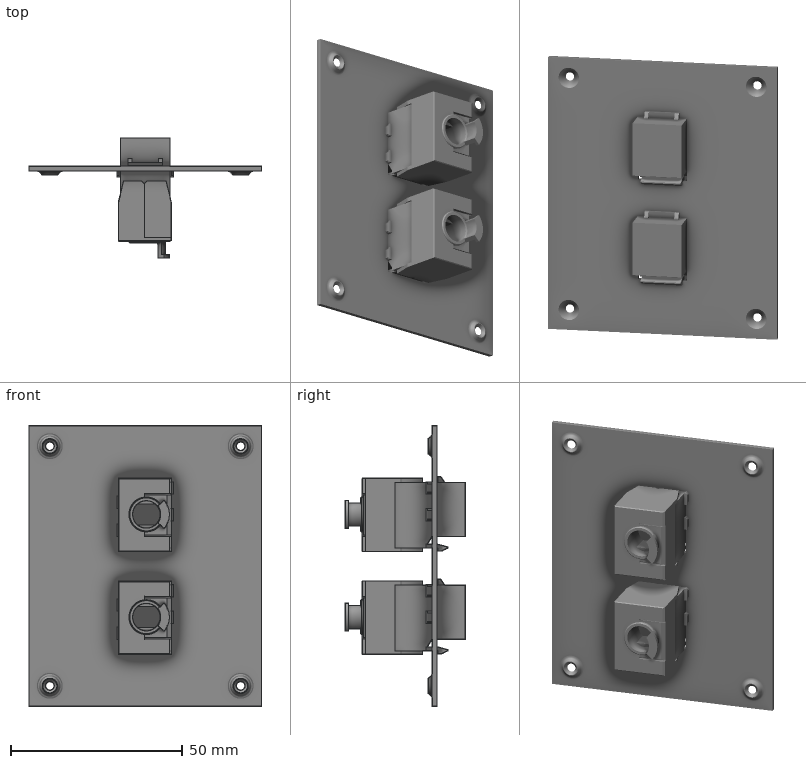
import cadquery as cq
import math

plate_width = 68.1
plate_height = 82.0
plate_thickness = 1.5
screw_x = 27.9
screw_z = 35.0

dimple_height = 1.15
dimple_base_radius = 3.6
dimple_cone_radius = 2.95
dimple_rim_radius = 2.2
dimple_mouth_radius = 2.05
dimple_hole_radius = 1.2
dimple_blend_height = 0.25
dimple_blend_radius = 1.1

jack_pitch = 30.0
jack_drop = 0.1
jack_heights = (jack_pitch / 2 - jack_drop, -jack_pitch / 2 - jack_drop)

insert_half_width = 7.3
insert_back = 9.8
insert_front = -10.8
insert_top = 9.5
insert_bottom = -9.7
socket_bottom = -6.3
arm_top = -8.5
arm_root = -1.4
arm_shoulder = -1.7
arm_half_width = 6.0

latch_gap = 0.2
latch_face = plate_thickness + latch_gap
latch_half_width = 5.1
latch_height = 1.7
latch_depth = 0.9
gusset_width = 1.2
gusset_depth = 2.05
hook_tip = 4.6
hook_tip_height = 0.3
hook_depth = 0.9
hook_lip = 1.15

clip_reach = 1.0
clip_depth = 1.7
clip_height = 3.6
clip_lip = 0.4
clip_chamfer = 0.6
left_clip_heights = (3.7, -4.5)
right_clip_heights = (7.9, 0.1)

cover_left = -7.9
cover_right = 7.6
cover_half_height = 10.75
cover_front = -20.5
cover_back = -2.8
door_split = -0.2
taper_start = -9.1
taper_inset = 1.55
left_split_chamfer = 1.0
right_split_chamfer = 0.7
cheek_back = insert_front
lip_thickness = 1.1
lip_back = cover_front + lip_thickness
lip_edge_chamfer = 0.25
lip_end_bevel_x = 0.6
lip_end_bevel_y = 0.25
notch_half_height = 6.2
pad_gap = 0.4
pad_recess = 0.4
pad_bevel_x = 1.2
pad_bevel_y = 0.6

relief_x = 0.3
relief_z = 0.2
relief_radius = 5.1
bore_radius = 4.0
relief_rim_chamfer = 0.25
relief_front = cover_front - 0.4
bore_end = -16.8
cable_slot_half_height = 3.0
tab_front = -25.4
tab_inner_radius = 4.2
tab_half_angle = 42.0
tab_center_offset = 0.6
tab_root_length = 0.5
stem_radius = 5.1
flange_radius = 6.15
flange_thickness = 1.1


def box(x0, x1, y0, y1, z0, z1):
    """Block between two opposite corners."""
    return cq.Workplane("XY").box(x1 - x0, y1 - y0, z1 - z0, centered=False).translate((x0, y0, z0))


def cylinder_y(radius, y0, y1, x, z):
    """Cylinder along Y from y0 to y1."""
    return cq.Workplane("XZ", origin=(x, y1, z)).circle(radius).extrude(y1 - y0)


def side_profile(points, x0, x1):
    """Outline of (Y, Z) points extruded along X from x0 to x1."""
    return cq.Workplane("YZ", origin=(x0, 0, 0)).polyline(points).close().extrude(x1 - x0)


def upright_prism(points, half_height):
    """Outline of (X, Y) points extruded along Z, centred on Z = 0."""
    return cq.Workplane("XY").polyline(points).close().extrude(half_height, both=True)


def revolve_about_y(outline, x, z):
    """Revolve an outline of (radius, Y) about an axis along Y."""
    return outline.close().revolve(360, (0, 0, 0), (0, 1, 0)).translate((x, 0, z))


def dimple_boss(x, z):
    """Raised cone with a concave blend at its foot."""
    outline = (
        cq.Workplane("XY")
        .moveTo(0, 0)
        .lineTo(dimple_base_radius, 0)
        .radiusArc((dimple_cone_radius, -dimple_blend_height), -dimple_blend_radius)
        .lineTo(dimple_rim_radius, -dimple_height)
        .lineTo(0, -dimple_height)
    )
    return revolve_about_y(outline, x, z)


def dimple_hole(x, z):
    """Hole that opens toward both faces from a narrow waist."""
    waist_y = -dimple_height + dimple_mouth_radius - dimple_hole_radius
    outline = (
        cq.Workplane("XY")
        .moveTo(0, -dimple_height)
        .lineTo(dimple_mouth_radius, -dimple_height)
        .lineTo(dimple_hole_radius, waist_y)
        .lineTo(dimple_hole_radius + plate_thickness - waist_y, plate_thickness)
        .lineTo(0, plate_thickness)
    )
    return revolve_about_y(outline, x, z)


def make_plate():
    plate = box(-plate_width / 2, plate_width / 2, 0, plate_thickness, -plate_height / 2, plate_height / 2)
    for x in (-screw_x, screw_x):
        for z in (-screw_z, screw_z):
            plate = plate.union(dimple_boss(x, z)).cut(dimple_hole(x, z))
    for z in jack_heights:
        opening = box(
            -insert_half_width, insert_half_width, 0, plate_thickness, z + insert_bottom, z + insert_top
        )
        plate = plate.cut(opening)
    return plate


def insert_body():
    """Socket block with the flexible latch arm and hook below it."""
    outline = [
        (insert_front, insert_top),
        (insert_back, insert_top),
        (insert_back, socket_bottom),
        (0, socket_bottom),
        (arm_root, arm_top),
        (latch_face, arm_top),
        (hook_tip, insert_bottom + hook_tip_height),
        (hook_tip, insert_bottom),
        (latch_face + hook_lip, insert_bottom - hook_depth),
        (latch_face, insert_bottom - hook_depth),
        (latch_face, insert_bottom),
        (insert_front, insert_bottom),
    ]
    body = side_profile(outline, -insert_half_width, insert_half_width)
    arm_floor = insert_bottom - hook_depth
    for x0, x1 in ((-insert_half_width, -arm_half_width), (arm_half_width, insert_half_width)):
        body = body.cut(box(x0, x1, arm_shoulder, hook_tip, arm_floor, arm_top))
    return body


def upper_latch():
    """Ledge above the socket with a sloping gusset at each end."""
    ledge_back = latch_face + latch_depth
    ledge_top = insert_top + latch_height
    latch = box(-latch_half_width, latch_half_width, latch_face, ledge_back, insert_top, ledge_top)
    outline = [
        (latch_face, insert_top),
        (latch_face + gusset_depth, insert_top),
        (ledge_back, ledge_top),
        (latch_face, ledge_top),
    ]
    for x in (-latch_half_width, latch_half_width - gusset_width):
        latch = latch.union(side_profile(outline, x, x + gusset_width))
    return latch


def side_clip(side, z):
    """Chamfered clip with a square lip, bearing on the plate; side is -1 or 1."""
    outer = insert_half_width + clip_reach
    half = clip_height / 2
    outline = [
        (side * insert_half_width, z - half),
        (side * (outer - clip_chamfer), z - half),
        (side * outer, z - half + clip_chamfer),
        (side * outer, z + half - clip_chamfer),
        (side * (outer - clip_chamfer), z + half),
        (side * insert_half_width, z + half),
    ]
    clip = cq.Workplane("XZ").polyline(outline).close().extrude(clip_depth)
    inner_x, outer_x = sorted((side * insert_half_width, side * outer))
    return clip.union(box(inner_x, outer_x, -clip_depth, clip_lip - clip_depth, z - half, z + half))


def make_insert():
    insert = insert_body().union(upper_latch())
    for z in left_clip_heights:
        insert = insert.union(side_clip(-1, z))
    for z in right_clip_heights:
        insert = insert.union(side_clip(1, z))
    return insert


def door_shell(outer_x, front, split_chamfer):
    """Door between the split and outer_x, hollowed to fit around the insert."""
    side = math.copysign(1, outer_x)
    outline = [
        (door_split, front),
        (outer_x, front),
        (outer_x, taper_start),
        (outer_x - side * taper_inset, cover_back),
        (door_split + side * split_chamfer, cover_back),
        (door_split, cover_back - split_chamfer),
    ]
    door = upright_prism(outline, cover_half_height)
    return door.cut(box(cover_left, cover_right, cheek_back, cover_back, insert_bottom, insert_top))


def relief_hole():
    return cylinder_y(relief_radius, cover_front, cheek_back, relief_x, relief_z)


def make_left_door():
    """Door whose front wall reaches across the right door as a notched lip."""
    door = door_shell(cover_left, cover_front, left_split_chamfer)
    lip = box(door_split, cover_right, cover_front, lip_back, -cover_half_height, cover_half_height)
    door = door.union(lip).faces("<Y").chamfer(lip_edge_chamfer)
    end_bevel = upright_prism(
        [
            (cover_right, cover_front),
            (cover_right - lip_end_bevel_x, cover_front),
            (cover_right, cover_front + lip_end_bevel_y),
        ],
        cover_half_height,
    )
    notch = box(door_split, cover_right, cover_front, lip_back, -notch_half_height, notch_half_height)
    return door.cut(end_bevel).cut(notch).cut(relief_hole())


def make_right_door():
    """Door behind the lip, with a bevelled pad standing in the notch."""
    pad_front = cover_front + pad_recess
    pad = upright_prism(
        [
            (door_split, lip_back),
            (door_split, pad_front),
            (cover_right - pad_bevel_x, pad_front),
            (cover_right, pad_front + pad_bevel_y),
            (cover_right, lip_back),
        ],
        notch_half_height - pad_gap,
    )
    return door_shell(cover_right, lip_back, right_split_chamfer).union(pad).cut(relief_hole())


def tab_sector(radius, y0, y1):
    """Pie sector along Y, opening toward +X from a centre offset from the bore."""
    angle = math.radians(tab_half_angle)
    corner_x = radius * math.cos(angle)
    corner_z = radius * math.sin(angle)
    return (
        cq.Workplane("XZ", origin=(relief_x + tab_center_offset, y1, relief_z))
        .lineTo(corner_x, -corner_z)
        .threePointArc((radius, 0), (corner_x, corner_z))
        .close()
        .extrude(y1 - y0)
    )


def stepped_bore():
    """Bore that widens over the root of the tab to the inner radius of the tab."""
    outline = (
        cq.Workplane("XY")
        .moveTo(0, tab_front)
        .lineTo(tab_inner_radius, tab_front)
        .lineTo(tab_inner_radius, relief_front - tab_root_length)
        .lineTo(bore_radius, relief_front)
        .lineTo(bore_radius, bore_end)
        .lineTo(0, bore_end)
    )
    return revolve_about_y(outline, relief_x, relief_z)


def make_strain_relief():
    """Bored plug with a cable slot behind the bore and a flanged tab in front."""
    plug = cylinder_y(relief_radius, relief_front, cheek_back, relief_x, relief_z)
    plug = plug.faces("<Y").chamfer(relief_rim_chamfer)
    stem = tab_sector(stem_radius, tab_front, relief_front + relief_rim_chamfer)
    flange = tab_sector(flange_radius, tab_front, tab_front + flange_thickness)
    bore = stepped_bore()
    slot = cylinder_y(bore_radius, bore_end, cheek_back, relief_x, relief_z).intersect(
        box(
            relief_x - bore_radius, relief_x + bore_radius, bore_end, cheek_back,
            relief_z - cable_slot_half_height, relief_z + cable_slot_half_height,
        )
    )
    return plug.union(stem).union(flange).cut(bore).cut(slot)


jack_bodies = [make_insert(), make_left_door(), make_right_door(), make_strain_relief()]
bodies = [make_plate().val()]
for z in jack_heights:
    for body in jack_bodies:
        bodies.append(body.translate((0, 0, z)).val())

result = cq.Compound.makeCompound(bodies)